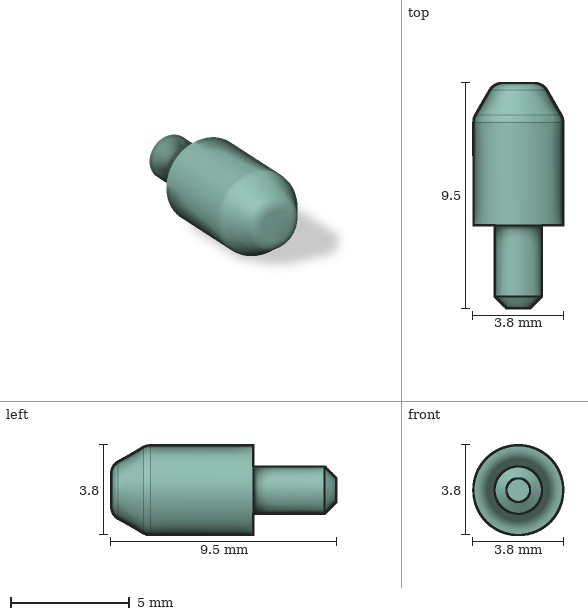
import cadquery as cq
import math

HEAD_DIAMETER = 3.8
HEAD_LENGTH = 6.0
NOSE_HALF_ANGLE = math.radians(30)
NOSE_ROUND = 0.6
NOSE_LENGTH = 1.5

STEM_DIAMETER = 2.0
STEM_LENGTH = 3.5
STEM_CHAMFER = 0.5


def revolve_about_y(profile):
    return profile.close().revolve(360, (0, 0, 0), (0, 1, 0))


def make_head():
    """Cylindrical head with a cone nose, rounded at both ends of the cone."""
    radius = HEAD_DIAMETER / 2
    nose_tip_radius = radius - NOSE_LENGTH * math.tan(NOSE_HALF_ANGLE)
    profile = (
        cq.Workplane("XY")
        .lineTo(radius, 0)
        .lineTo(radius, HEAD_LENGTH - NOSE_LENGTH)
        .lineTo(nose_tip_radius, HEAD_LENGTH)
        .lineTo(0, HEAD_LENGTH)
    )
    nose_edges = cq.selectors.BoxSelector(
        (-radius, HEAD_LENGTH - NOSE_LENGTH - NOSE_ROUND, -radius),
        (radius, HEAD_LENGTH + NOSE_ROUND, radius),
    )
    return revolve_about_y(profile).edges("%CIRCLE").edges(nose_edges).fillet(NOSE_ROUND)


def make_stem():
    """Thin stem butted against the shoulder, with a chamfered free end."""
    radius = STEM_DIAMETER / 2
    profile = (
        cq.Workplane("XY")
        .lineTo(radius, 0)
        .lineTo(radius, STEM_CHAMFER - STEM_LENGTH)
        .lineTo(radius - STEM_CHAMFER, -STEM_LENGTH)
        .lineTo(0, -STEM_LENGTH)
    )
    return revolve_about_y(profile)


head = make_head()
stem = make_stem()

result = cq.Compound.makeCompound([head.val(), stem.val()])